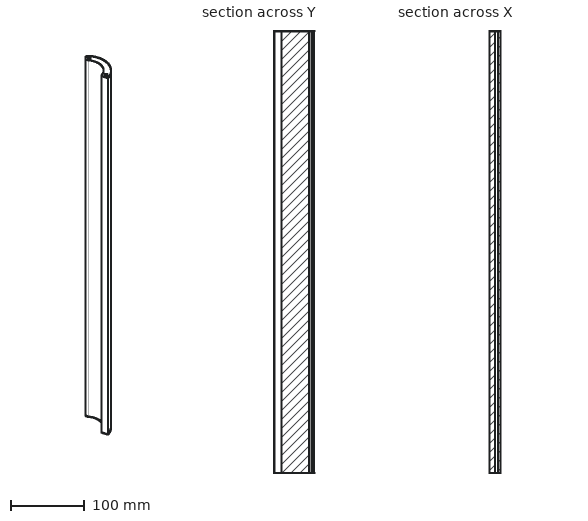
import cadquery as cq
import math

length = 600.0
outer_radius = 34.0
wall = 10.0
flat_end_angle = 11.5
round_end_angle = 123.3
hole_diameter = 3.3
flat_end_hole_inset = 5.5

inner_radius = outer_radius - wall
middle_radius = outer_radius - wall / 2
flat_end_hole_angle = flat_end_angle + math.degrees(math.asin(flat_end_hole_inset / middle_radius))


def polar(radius, angle):
    """Point at a radius and an angle in degrees, about the arc centre."""
    radians = math.radians(angle)
    return (radius * math.cos(radians), radius * math.sin(radians))


def round_end_tip():
    """Outermost point of the half-round nose, half a wall beyond its centre."""
    x, y = polar(middle_radius, round_end_angle)
    tangent_x, tangent_y = polar(wall / 2, round_end_angle + 90)
    return (x + tangent_x, y + tangent_y)


def curved_strip():
    """Arc-shaped wall with one flat radial end and one half-round end."""
    middle_angle = (flat_end_angle + round_end_angle) / 2
    return (
        cq.Workplane("XY")
        .moveTo(*polar(inner_radius, flat_end_angle))
        .lineTo(*polar(outer_radius, flat_end_angle))
        .threePointArc(polar(outer_radius, middle_angle), polar(outer_radius, round_end_angle))
        .threePointArc(round_end_tip(), polar(inner_radius, round_end_angle))
        .threePointArc(polar(inner_radius, middle_angle), polar(inner_radius, flat_end_angle))
        .close()
        .extrude(length)
    )


def end_holes():
    """Lengthwise holes through the strip, one near each end of the arc."""
    centres = [polar(middle_radius, angle) for angle in (flat_end_hole_angle, round_end_angle)]
    return cq.Workplane("XY").pushPoints(centres).circle(hole_diameter / 2).extrude(length)


result = curved_strip().cut(end_holes())